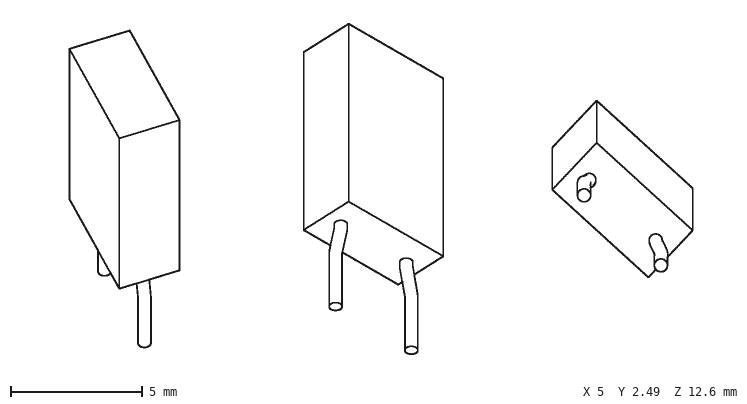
import cadquery as cq
import math

HOUSING_WIDTH = 5.0
HOUSING_DEPTH = 2.49
TOTAL_HEIGHT = 12.57
HOUSING_BOTTOM = 4.07

LEAD_DIAMETER = 0.5
FOOT_PITCH = 4.0
ROOT_PITCH = 3.46
LOWER_BEND_START = 2.53
BEND_RADIUS = 0.6
KINK_ANGLE = math.radians(12.2)


def make_housing():
    height = TOTAL_HEIGHT - HOUSING_BOTTOM
    return (
        cq.Workplane("XY", origin=(0, 0, HOUSING_BOTTOM))
        .rect(HOUSING_WIDTH, HOUSING_DEPTH)
        .extrude(height)
    )


def make_lead(side):
    """Wire swept from foot to root; side is -1 for the -X lead, +1 for the +X lead."""
    foot_x = side * FOOT_PITCH / 2
    root_x = side * ROOT_PITCH / 2
    bend_shift = BEND_RADIUS * (1 - math.cos(KINK_ANGLE))
    bend_rise = BEND_RADIUS * math.sin(KINK_ANGLE)
    slant_shift = (FOOT_PITCH - ROOT_PITCH) / 2 - 2 * bend_shift
    slant_rise = slant_shift / math.tan(KINK_ANGLE)
    slant_start = LOWER_BEND_START + bend_rise
    slant_end = slant_start + slant_rise

    path = (
        cq.Workplane("XZ")
        .moveTo(foot_x, 0)
        .lineTo(foot_x, LOWER_BEND_START)
        .tangentArcPoint((foot_x - side * bend_shift, slant_start), relative=False)
        .lineTo(root_x + side * bend_shift, slant_end)
        .tangentArcPoint((root_x, slant_end + bend_rise), relative=False)
        .lineTo(root_x, HOUSING_BOTTOM)
    )
    foot = cq.Workplane("XY", origin=(foot_x, 0, 0)).circle(LEAD_DIAMETER / 2)
    return foot.sweep(path)


housing = make_housing()
leads = [make_lead(side) for side in (-1, 1)]

result = cq.Compound.makeCompound([housing.val(), *[lead.val() for lead in leads]])